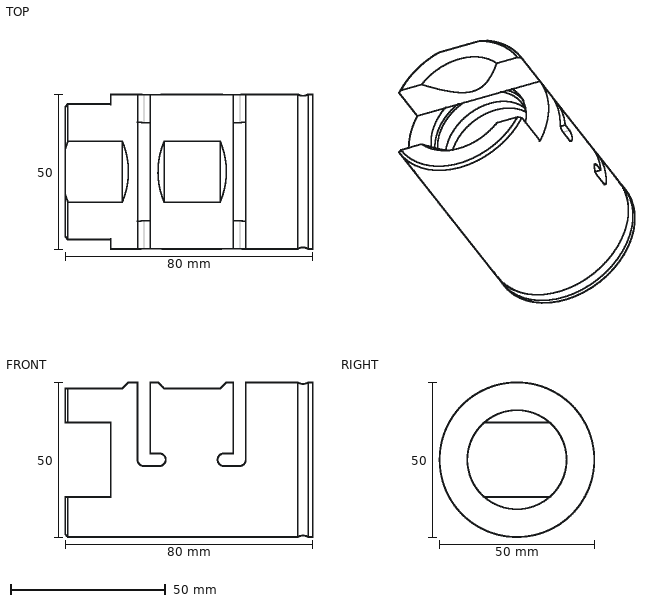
import cadquery as cq
import math

length = 80.0
outer_radius = 50.0 / 2
bore_radius = 32.0 / 2
end_chamfer = 1.0

jaw_depth = 14.7
jaw_gap = 24.0
counterbore_radius = 34.0 / 2
counterbore_end = 17.6
mouth_radius = 18.0
mouth_half_angle = math.radians(30)

flat_depth = 2.0
flat_height = outer_radius - flat_depth
front_flat_end = 18.5
middle_flat_start = 32.0
middle_flat_end = 50.1

slot_width = 4.0
slot_radius = slot_width / 2
slot_center_x = 40.9
slot_outer_offset = 17.4
slot_foot_length = 9.0

groove_start = 75.1
groove_end = 78.5
groove_depth = 0.5

cut_size = 3 * outer_radius


def make_sleeve():
    """Outer cylinder with a chamfered front edge and a bore from the jaw floor to the back."""
    body = cq.Workplane("YZ").circle(outer_radius).extrude(length)
    body = body.faces("<X").chamfer(end_chamfer)
    bore = (
        cq.Workplane("YZ").workplane(offset=jaw_depth)
        .circle(bore_radius).extrude(length - jaw_depth)
    )
    return body.cut(bore)


def make_front_bore():
    """Counterbore plus the conical mouth that scoops into both jaws."""
    counterbore = (
        cq.Workplane("YZ").workplane(offset=jaw_depth)
        .circle(counterbore_radius).extrude(counterbore_end - jaw_depth)
    )
    mouth_length = mouth_radius / math.tan(mouth_half_angle)
    mouth = cq.Workplane(cq.Solid.makeCone(
        mouth_radius, 0, mouth_length, cq.Vector(0, 0, 0), cq.Vector(1, 0, 0)
    ))
    return counterbore, mouth


def make_jaw_gap():
    """Rectangular gap right across the front end."""
    return cq.Workplane("XY").box(
        jaw_depth, cut_size, jaw_gap, centered=(False, True, True)
    )


def make_flat(start, end):
    """Cutter for a flat whose ends rise at 45 degrees."""
    rise = 2 * flat_depth
    return (
        cq.Workplane("XZ")
        .moveTo(start, flat_height)
        .lineTo(end, flat_height)
        .lineTo(end + rise, flat_height + rise)
        .lineTo(start - rise, flat_height + rise)
        .close()
        .extrude(outer_radius, both=True)
    )


def make_slot(side):
    """L-shaped slot; side is -1 for the front slot and 1 for the back one."""
    wall = slot_center_x + side * slot_outer_offset
    inner_wall = wall - side * slot_width
    foot_center = wall - side * (slot_foot_length - slot_radius)
    foot_tip = wall - side * slot_foot_length
    corner_x = wall - side * slot_radius
    diagonal = slot_radius * math.sqrt(0.5)
    return (
        cq.Workplane("XZ")
        .moveTo(wall, cut_size)
        .lineTo(wall, 0)
        .threePointArc((corner_x + side * diagonal, -diagonal), (corner_x, -slot_radius))
        .lineTo(foot_center, -slot_radius)
        .threePointArc((foot_tip, 0), (foot_center, slot_radius))
        .lineTo(inner_wall, slot_radius)
        .lineTo(inner_wall, cut_size)
        .close()
        .extrude(cut_size, both=True)
    )


def make_groove():
    """Ring cutter with a circular-arc section."""
    middle = (groove_start + groove_end) / 2
    return (
        cq.Workplane("XY")
        .moveTo(groove_start, outer_radius)
        .threePointArc((middle, outer_radius - groove_depth), (groove_end, outer_radius))
        .lineTo(groove_end, outer_radius + groove_depth)
        .lineTo(groove_start, outer_radius + groove_depth)
        .close()
        .revolve(360, (0, 0, 0), (1, 0, 0))
    )


result = make_sleeve()
for cutter in make_front_bore():
    result = result.cut(cutter)
result = result.cut(make_jaw_gap())
result = result.cut(make_flat(-end_chamfer, front_flat_end))
result = result.cut(make_flat(middle_flat_start, middle_flat_end))
for slot_side in (-1, 1):
    result = result.cut(make_slot(slot_side))
result = result.cut(make_groove())